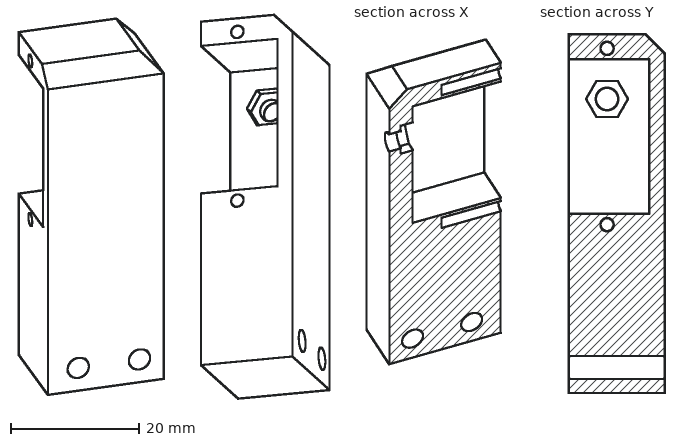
import cadquery as cq

width = 15.0
depth = 19.0
height = 56.0
corner_chamfer = 3.0

top_wall = 4.0
right_wall = 2.45
back_wall = 4.05
pocket_height = 24.0
pocket_top = height - top_wall
pocket_bottom = pocket_top - pocket_height

screw_diameter = 2.0
screw_depth = 10.0
screw_edge_gap = 1.75
hole_x = 6.0

bolt_diameter = 3.5
bolt_z = height - 10.15
nut_across_corners = 6.55
nut_depth = 2.0

cross_hole_z = 4.0
cross_hole_front_y = 5.0
cross_hole_spacing = 10.0


def front_plane(y, z):
    """Upright plane at the hole column; negative extrusions run toward the back."""
    return cq.Workplane("XZ", origin=(hole_x, y, z))


def make_body():
    block = cq.Workplane("XY").box(width, depth, height, centered=False)
    block = block.faces(">Z").edges(">X or >Y").chamfer(corner_chamfer)
    pocket = cq.Workplane("XY", origin=(0, 0, pocket_bottom)).box(
        width - right_wall, depth - back_wall, pocket_height, centered=False
    )
    return block.cut(pocket)


def cut_screw_holes(body):
    for z in (pocket_top + screw_edge_gap, pocket_bottom - screw_edge_gap):
        hole = front_plane(0, z).circle(screw_diameter / 2).extrude(-screw_depth)
        body = body.cut(hole)
    return body


def cut_bolt_hole(body):
    wall_y = depth - back_wall
    bolt = front_plane(wall_y, bolt_z).circle(bolt_diameter / 2).extrude(-back_wall)
    nut = front_plane(wall_y, bolt_z).polygon(6, nut_across_corners).extrude(-nut_depth)
    return body.cut(bolt).cut(nut)


def cut_cross_holes(body):
    for y in (cross_hole_front_y, cross_hole_front_y + cross_hole_spacing):
        hole = (
            cq.Workplane("YZ", origin=(0, y, cross_hole_z))
            .circle(bolt_diameter / 2)
            .extrude(width)
        )
        body = body.cut(hole)
    return body


result = cut_cross_holes(cut_bolt_hole(cut_screw_holes(make_body())))